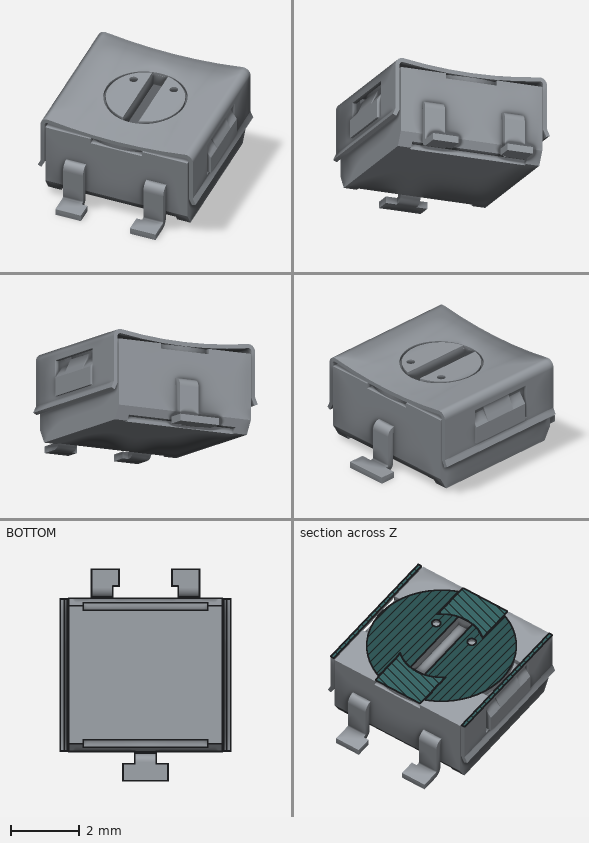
import cadquery as cq
import math

housing_side = 4.5
housing_half = housing_side / 2
housing_bottom = 0.06
housing_top = 2.44
bottom_bevel_height = 0.4
bottom_bevel_depth = 0.23
notch_width = 1.63
notch_floor = 2.28
relief_width = 3.66
relief_height = 0.165
relief_depth = 0.35

lug_half_width = 1.0
lug_core_half_width = 0.515
lug_reach = 2.48
lug_root_depth = 0.1
lug_bottom = 1.25
lug_ramp_start = 1.8
lug_wing_top = 2.12
lug_core_top = notch_floor

disc_radius = 2.2
disc_top = 2.483
head_radius = 1.165
head_top = 2.6
slot_width = 0.5
slot_half_length = 1.225
slot_depth = 0.5
slot_floor_thickness = 0.2
slot_floor = head_top - slot_depth
rotor_bottom = slot_floor - slot_floor_thickness
dot_diameter = 0.25
dot_circle_radius = 0.9
dot_depth = dot_diameter

clip_width = 4.46
clip_thickness = 0.125
clip_leg_outer = 2.41
clip_bend_radius = 0.225
clip_top = 2.73
clip_bend_z = clip_top - clip_bend_radius
clip_sag_angle = math.radians(8.7)
clip_flare_angle = math.radians(25)
clip_flare_top = 1.153
clip_flare_reach = 2.5
clip_hole_radius = 1.235
window_bottom = lug_bottom
window_top = 2.343
window_y_min = -1.14
window_y_max = lug_half_width

lead_thickness = 0.205
lead_width = 0.63
lead_pitch = 2.54
lead_top = 1.45
lead_tip = 3.1
lead_inner_bend = 0.045
lead_outer_bend = lead_inner_bend + lead_thickness
lead_outer = housing_half + lead_outer_bend
pad_start = 2.6
front_pad_extension = 0.18
rear_pad_extension = 0.345


def box(x_min, x_max, y_min, y_max, z_min, z_max):
    return (
        cq.Workplane("XY")
        .box(x_max - x_min, y_max - y_min, z_max - z_min, centered=False)
        .translate((x_min, y_min, z_min))
    )


def disc(radius, z_min, z_max):
    return cq.Workplane("XY").workplane(offset=z_min).circle(radius).extrude(z_max - z_min)


def make_lug_prism(half_width, top):
    """Ramped catch on the +X face, flat below and sloping back to the wall above."""
    root = housing_half - lug_root_depth
    profile = [
        (root, lug_bottom),
        (lug_reach, lug_bottom),
        (lug_reach, lug_ramp_start),
        (housing_half, top),
        (root, top),
    ]
    return cq.Workplane("XZ").polyline(profile).close().extrude(half_width, both=True)


def make_housing():
    bevel_inner = housing_half - bottom_bevel_depth
    bevel_top = housing_bottom + bottom_bevel_height
    section = [
        (-bevel_inner, housing_bottom),
        (bevel_inner, housing_bottom),
        (housing_half, bevel_top),
        (housing_half, housing_top),
        (-housing_half, housing_top),
        (-housing_half, bevel_top),
    ]
    body = cq.Workplane("YZ").polyline(section).close().extrude(housing_half, both=True)

    lug = make_lug_prism(lug_half_width, lug_wing_top).union(
        make_lug_prism(lug_core_half_width, lug_core_top)
    )
    body = body.union(lug).union(lug.mirror("YZ"))

    half_notch = notch_width / 2
    body = body.cut(box(
        -housing_half, housing_half, -half_notch, half_notch, notch_floor, housing_top))
    body = body.cut(box(
        -half_notch, half_notch, -housing_half, housing_half, notch_floor, housing_top))
    body = body.cut(disc(disc_radius, rotor_bottom, housing_top))

    relief = box(
        -relief_width / 2, relief_width / 2,
        housing_half - relief_depth, housing_half,
        housing_bottom, housing_bottom + relief_height,
    )
    return body.cut(relief).cut(relief.mirror("XZ"))


def make_clip_profile():
    """Side section of the bent strip: bowed top, rounded shoulders, flared legs."""
    inner_bend = clip_bend_radius - clip_thickness
    bend_x = clip_leg_outer - clip_bend_radius
    bow_radius = bend_x / math.sin(clip_sag_angle) - clip_bend_radius
    bow_z = clip_bend_z + (bow_radius + clip_bend_radius) * math.cos(clip_sag_angle)

    def shoulder(radius, angle):
        return (bend_x + radius * math.sin(angle), clip_bend_z + radius * math.cos(angle))

    def mirrored(point):
        return (-point[0], point[1])

    mid_angle = (math.pi / 2 - clip_sag_angle) / 2
    outer_start = shoulder(clip_bend_radius, -clip_sag_angle)
    outer_mid = shoulder(clip_bend_radius, mid_angle)
    outer_end = (clip_leg_outer, clip_bend_z)
    inner_start = shoulder(inner_bend, -clip_sag_angle)
    inner_mid = shoulder(inner_bend, mid_angle)
    inner_end = (clip_leg_outer - clip_thickness, clip_bend_z)

    flare_drop = (clip_flare_reach - clip_leg_outer) / math.tan(clip_flare_angle)
    outer_knee = (clip_leg_outer, clip_flare_top)
    outer_tip = (clip_flare_reach, clip_flare_top - flare_drop)
    inner_tip = (
        outer_tip[0] - clip_thickness * math.cos(clip_flare_angle),
        outer_tip[1] - clip_thickness * math.sin(clip_flare_angle),
    )
    inner_knee = (
        clip_leg_outer - clip_thickness,
        clip_flare_top - clip_thickness * math.tan(clip_flare_angle / 2),
    )

    bow_top = (0, bow_z - bow_radius)
    bow_bottom = (0, bow_z - bow_radius - clip_thickness)
    return (
        cq.Workplane("XZ")
        .moveTo(*mirrored(outer_start))
        .threePointArc(bow_top, outer_start)
        .threePointArc(outer_mid, outer_end)
        .lineTo(*outer_knee)
        .lineTo(*outer_tip)
        .lineTo(*inner_tip)
        .lineTo(*inner_knee)
        .lineTo(*inner_end)
        .threePointArc(inner_mid, inner_start)
        .threePointArc(bow_bottom, mirrored(inner_start))
        .threePointArc(mirrored(inner_mid), mirrored(inner_end))
        .lineTo(*mirrored(inner_knee))
        .lineTo(*mirrored(inner_tip))
        .lineTo(*mirrored(outer_tip))
        .lineTo(*mirrored(outer_knee))
        .lineTo(*mirrored(outer_end))
        .threePointArc(mirrored(outer_mid), mirrored(outer_start))
        .close()
    )


def make_clip():
    strip = make_clip_profile().extrude(clip_width / 2, both=True)
    windows = box(
        -clip_flare_reach, clip_flare_reach, window_y_min, window_y_max, window_bottom, window_top
    )
    return strip.cut(windows).cut(disc(clip_hole_radius, notch_floor, clip_top))


def make_rotor(clip):
    rotor = disc(disc_radius, rotor_bottom, disc_top)
    rotor = rotor.union(disc(head_radius, disc_top, head_top))
    rotor = rotor.cut(box(
        -slot_width / 2, slot_width / 2,
        -slot_half_length, slot_half_length,
        slot_floor, head_top,
    ))
    dot_offset = dot_circle_radius * math.sqrt(0.5)
    for side in (-1, 1):
        dot = disc(dot_diameter / 2, head_top - dot_depth, head_top)
        rotor = rotor.cut(dot.translate((side * dot_offset, dot_offset, 0)))
    return rotor.cut(clip)


def make_terminal(pad_x_min, pad_x_max):
    """Gull-wing lead leaving the -Y face, with its neck centred on X = 0."""
    lead_inner = lead_outer - lead_thickness
    side_profile = (
        cq.Workplane("YZ")
        .moveTo(-housing_half, lead_top)
        .radiusArc((-lead_outer, lead_top - lead_outer_bend), -lead_outer_bend)
        .lineTo(-lead_outer, lead_thickness + lead_inner_bend)
        .radiusArc((-(lead_outer + lead_inner_bend), lead_thickness), lead_inner_bend)
        .lineTo(-lead_tip, lead_thickness)
        .lineTo(-lead_tip, 0)
        .lineTo(-(lead_inner + lead_outer_bend), 0)
        .radiusArc((-lead_inner, lead_outer_bend), -lead_outer_bend)
        .lineTo(-lead_inner, lead_top - lead_thickness)
        .lineTo(-housing_half, lead_top - lead_thickness)
        .close()
    )
    pad = box(pad_x_min, pad_x_max, -lead_tip, -pad_start, 0, lead_thickness)
    return side_profile.extrude(lead_width / 2, both=True).union(pad)


def make_front_terminal(side):
    """Lead at X = side * pitch / 2, its pad widened toward the centre."""
    inner_edge = side * -(lead_width / 2 + front_pad_extension)
    outer_edge = side * lead_width / 2
    lead = make_terminal(min(inner_edge, outer_edge), max(inner_edge, outer_edge))
    return lead.translate((side * lead_pitch / 2, 0, 0))


def make_rear_terminal():
    half_pad = lead_width / 2 + rear_pad_extension
    return make_terminal(-half_pad, half_pad).mirror("XZ")


housing = make_housing()
clip = make_clip()
rotor = make_rotor(clip)
front_terminals = [make_front_terminal(side) for side in (-1, 1)]
rear_terminal = make_rear_terminal()

result = cq.Compound.makeCompound([
    housing.val(),
    clip.val(),
    rotor.val(),
    *[terminal.val() for terminal in front_terminals],
    rear_terminal.val(),
])